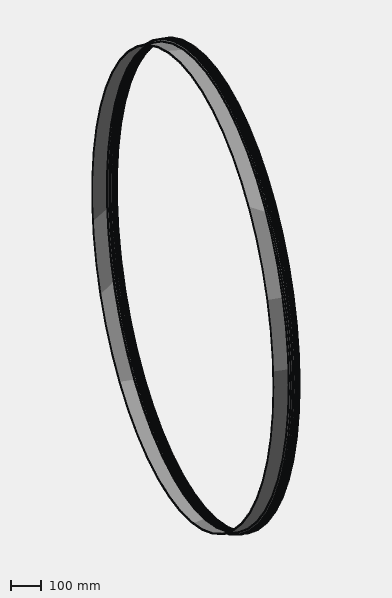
import cadquery as cq

SHEET = 2.0
WIDTH = 89.0
BAND_RADIUS = 1626.0 / 2
GROOVE_RADIUS = 1617.5 / 2
CONE_BACK_RADIUS = 1609.5 / 2
CONE_FRONT_RADIUS = 1604.0 / 2

BACK_LIP = 0.8
RAMP = BAND_RADIUS - GROOVE_RADIUS
BACK_BAND = 6.0
GROOVE_FLOOR = 6.5
FRONT_BAND = 7.0
CONE_DROP = 4.0

BACK_Y = WIDTH / 2
FRONT_Y = -WIDTH / 2


def outer_line():
    """Outer (radius, y) corners of the wall, running from the back rim to the front rim."""
    stretches = [
        (BACK_LIP, GROOVE_RADIUS),
        (RAMP, BAND_RADIUS),
        (BACK_BAND, BAND_RADIUS),
        (RAMP, GROOVE_RADIUS),
        (GROOVE_FLOOR, GROOVE_RADIUS),
        (RAMP, BAND_RADIUS),
        (FRONT_BAND, BAND_RADIUS),
        (CONE_DROP, CONE_BACK_RADIUS),
    ]
    y = BACK_Y
    corners = [(GROOVE_RADIUS, y)]
    for length, end_radius in stretches:
        y -= length
        corners.append((end_radius, y))
    corners.append((CONE_FRONT_RADIUS, FRONT_Y))
    return corners


def ring():
    """Revolve the banded wall one full turn about the Y axis."""
    outer = outer_line()
    inner = [(radius - SHEET, y) for radius, y in reversed(outer)]
    wall = cq.Workplane("XY").polyline(outer + inner).close()
    return wall.revolve(360, (0, 0, 0), (0, 1, 0))


result = ring()